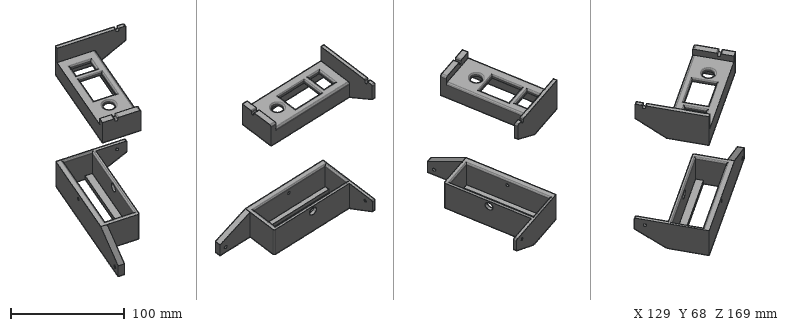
import cadquery as cq

total_height = 169.0
box_depth = 37.7
plate_bend_y = 38.4
thin_wall = 3.5
arm_thickness = 6.3
round_edge = 1.5

cover_length = 96.9
lug_thickness = 6.0
cover_right_wall = 8.5
cover_back_wall = 2.9
cover_bottom = 134.2
deck_top = 151.8
deck_thickness = 3.5
lug_top = 159.0
cover_plate_reach = 67.1
back_round = 2.0
windows = [
    (13.2, 8.5, 12.3, 19.8, 1.5),
    (31.1, 8.3, 30.5, 22.1, 1.2),
]
deck_hole_diameter = 11.0
deck_hole_x = 71.9
deck_hole_y = 18.3
notch_width = 2.7
notch_depth = 3.5
notch_flare = 1.0
plate_notch_y = 58.8
lug_notch_y = 13.5

tray_left = 1.0
tray_right = 93.3
tray_height = 30.1
tray_side_wall = 3.0
tray_back_wall = 3.5
tray_right_wall = 4.5
tray_floor = 4.4
tray_plate_reach = 68.0
tray_plate_tip = 16.9
plate_bend_radius = 8.5
tray_corner_radius = 1.7
arm_end = 129.0
arm_tip_height = 13.0
floor_slot_front = 11.0
floor_slot_back = 27.0
pivot_x = 47.2
pivot_z = 24.0
pivot_diameter = 2.7
back_hole_diameter = 8.1
arm_hole_x = 122.2
arm_hole_z = 6.3
arm_hole_diameter = 3.0
plate_hole_y = 58.3
plate_hole_z = 23.5
plate_hole_diameter = 2.7


def box_between(x0, x1, y0, y1, z0, z1):
    """Box given by its limits along each axis."""
    return cq.Workplane("XY").box(x1 - x0, y1 - y0, z1 - z0, centered=False).translate((x0, y0, z0))


def hole_along_y(x, z, diameter, start, length):
    """Round cutter that runs in +Y from start."""
    return cq.Workplane("XZ", origin=(x, start, z)).circle(diameter / 2).extrude(-length)


def side_plate(left, thickness, outline):
    """Plate in the YZ plane that grows in +X from its left face."""
    return cq.Workplane("YZ", origin=(left, 0, 0)).polyline(outline).close().extrude(thickness)


def notch_cutter(left, width, y, top):
    """Round-bottomed slot through a wall, with a rounded mouth."""
    half = notch_width / 2
    mouth = half + notch_flare
    shoulder = top - notch_flare
    arc_start = top - notch_depth + half
    return (
        cq.Workplane("YZ", origin=(left, 0, 0))
        .moveTo(y - mouth, top)
        .radiusArc((y - half, shoulder), notch_flare)
        .lineTo(y - half, arc_start)
        .threePointArc((y, top - notch_depth), (y + half, arc_start))
        .lineTo(y + half, shoulder)
        .radiusArc((y + mouth, top), notch_flare)
        .close()
        .extrude(width)
    )


def make_cover():
    lug_left = cover_length - lug_thickness

    body = (
        box_between(0, cover_length, 0, box_depth, cover_bottom, deck_top)
        .edges(">Y and >Z").fillet(back_round)
    )
    lug = (
        box_between(lug_left, cover_length, 0, box_depth, cover_bottom, lug_top)
        .edges(">Y and >Z").fillet(back_round)
    )

    cavity = box_between(
        thin_wall, cover_length - cover_right_wall, thin_wall, box_depth - cover_back_wall,
        cover_bottom, deck_top - deck_thickness,
    )
    body = body.cut(cavity)

    for left, front, width, depth, rounding in windows:
        window = box_between(left, left + width, front, front + depth, cover_bottom, deck_top)
        body = body.cut(window)
        body = body.edges(
            cq.selectors.BoxSelector(
                (left - rounding, front - rounding, deck_top - rounding),
                (left + width + rounding, front + depth + rounding, deck_top + rounding),
            )
        ).edges("#Z").fillet(rounding)
    deck_hole = (
        cq.Workplane("XY", origin=(deck_hole_x, deck_hole_y, cover_bottom))
        .circle(deck_hole_diameter / 2)
        .extrude(deck_top - cover_bottom)
    )
    body = body.cut(deck_hole)
    body = body.faces(">Z").edges("%CIRCLE").fillet(round_edge)

    plate = side_plate(0, thin_wall, [
        (0, cover_bottom),
        (plate_bend_y, cover_bottom),
        (cover_plate_reach, deck_top),
        (cover_plate_reach, total_height),
        (0, total_height),
    ]).edges(">Y and >Z").fillet(round_edge)

    return (
        body.union(lug)
        .union(plate)
        .cut(notch_cutter(0, thin_wall, plate_notch_y, total_height))
        .cut(notch_cutter(lug_left, lug_thickness, lug_notch_y, lug_top))
    )


def make_tray():
    inner_left = tray_left + tray_side_wall
    inner_right = tray_right - tray_right_wall
    inner_back = box_depth - tray_back_wall

    body = box_between(tray_left, tray_right, 0, box_depth, 0, tray_height)
    body = body.edges("|Z and >X and >Y").fillet(tray_corner_radius)

    plate = side_plate(tray_left, tray_side_wall, [
        (0, 0),
        (plate_bend_y, 0),
        (tray_plate_reach, tray_plate_tip),
        (tray_plate_reach, tray_height),
        (0, tray_height),
    ])
    plate = plate.edges("|X and >Y").fillet(round_edge)
    bend = cq.selectors.NearestToPointSelector((tray_left + tray_side_wall / 2, plate_bend_y, 0))
    plate = plate.edges("|X").edges(bend).fillet(plate_bend_radius)

    arm = (
        cq.Workplane("XZ")
        .polyline([
            (tray_left, 0),
            (arm_end, 0),
            (arm_end, arm_tip_height),
            (tray_right, tray_height),
            (tray_left, tray_height),
        ])
        .close()
        .extrude(-arm_thickness)
    )

    body = body.union(plate).union(arm)
    cavity = box_between(inner_left, inner_right, arm_thickness, inner_back, tray_floor, tray_height)
    body = body.cut(cavity)
    rim = cq.selectors.BoxSelector(
        (inner_left - round_edge, arm_thickness - round_edge, tray_height - round_edge),
        (inner_right + round_edge, inner_back + round_edge, tray_height + round_edge),
    )
    body = body.edges(rim).fillet(round_edge)
    body = body.cut(box_between(inner_left, inner_right, floor_slot_front, floor_slot_back, 0, tray_floor))

    plate_hole = (
        cq.Workplane("YZ", origin=(tray_left, plate_hole_y, plate_hole_z))
        .circle(plate_hole_diameter / 2)
        .extrude(tray_side_wall)
    )
    return (
        body.cut(hole_along_y(pivot_x, pivot_z, pivot_diameter, 0, arm_thickness))
        .cut(hole_along_y(pivot_x, pivot_z, back_hole_diameter, inner_back, tray_back_wall))
        .cut(hole_along_y(arm_hole_x, arm_hole_z, arm_hole_diameter, 0, arm_thickness))
        .cut(plate_hole)
    )


cover = make_cover()
tray = make_tray()
result = cq.Compound.makeCompound([cover.val(), tray.val()])